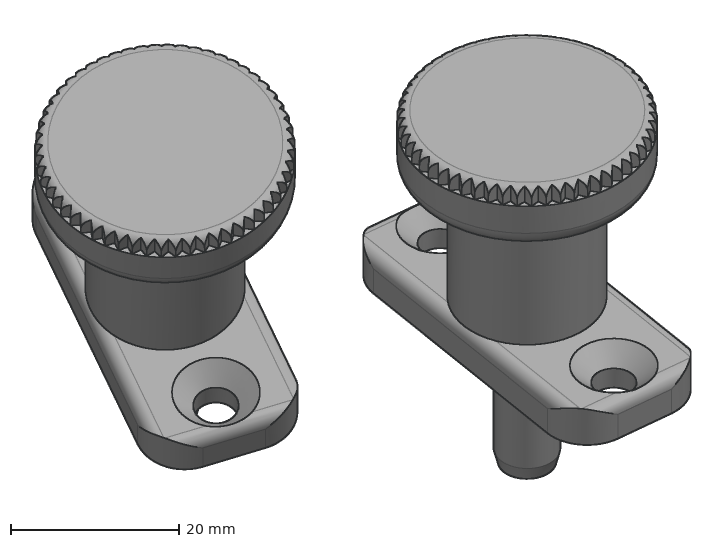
import cadquery as cq
import math

PLATE_THICKNESS = 5.45
COLLAR_HEIGHT = 2.5
BARREL_HEIGHT = 19.0
HEAD_HEIGHT = 9.0
TOTAL_HEIGHT = 54.0
head_bottom = PLATE_THICKNESS + BARREL_HEIGHT
head_top = head_bottom + HEAD_HEIGHT
pin_tip = head_top - TOTAL_HEIGHT

PLATE_LENGTH = 46.0
PLATE_WIDTH = 20.0
PLATE_CORNER_RADIUS = 6.0
PLATE_EDGE_RADIUS = 1.75
COLLAR_DIAMETER = 12.0
SCREW_OFFSET = 17.0
SCREW_DIAMETER = 5.4
COUNTERSINK_DIAMETER = 10.5
COUNTERSINK_ANGLE = 90.0

HEAD_DIAMETER = 31.0
HEAD_TOP_RADIUS = 1.5
HEAD_BOTTOM_RADIUS = 2.5
BARREL_DIAMETER = 19.0
NECK_RADIUS = 1.0
PIN_DIAMETER = 8.0
TIP_DIAMETER = 7.0
TAPER_HEIGHT = 2.0
DOME_HEIGHT = 1.1

KNURL_COUNT = 56
KNURL_HEIGHT = 2.5
KNURL_DEPTH = 0.85


def make_plate():
    """Rounded plate with a collar underneath, a pin bore and two countersunk screw holes."""
    block = (
        cq.Workplane("XY")
        .box(PLATE_LENGTH, PLATE_WIDTH, PLATE_THICKNESS, centered=(True, True, False))
        .faces(">Z")
        .edges()
        .fillet(PLATE_EDGE_RADIUS)
    )
    outline = (
        cq.Workplane("XY")
        .rect(PLATE_LENGTH, PLATE_WIDTH)
        .extrude(PLATE_THICKNESS)
        .edges("|Z")
        .fillet(PLATE_CORNER_RADIUS)
    )
    collar = cq.Workplane("XY").circle(COLLAR_DIAMETER / 2).extrude(-COLLAR_HEIGHT)
    plate = block.intersect(outline).union(collar)

    pin_bore = (
        cq.Workplane("XY", origin=(0, 0, -COLLAR_HEIGHT))
        .circle(PIN_DIAMETER / 2)
        .extrude(COLLAR_HEIGHT + PLATE_THICKNESS)
    )
    plate = plate.cut(pin_bore)
    return cut_screw_holes(plate)


def cut_screw_holes(plate):
    """Countersunk through holes, one on each side of the barrel."""
    return (
        plate.copyWorkplane(cq.Workplane("XY", origin=(0, 0, PLATE_THICKNESS)))
        .pushPoints([(-SCREW_OFFSET, 0), (SCREW_OFFSET, 0)])
        .cskHole(SCREW_DIAMETER, COUNTERSINK_DIAMETER, COUNTERSINK_ANGLE)
    )


def make_plunger():
    """Knob head, barrel and pin, turned as one piece."""
    head_radius = HEAD_DIAMETER / 2
    barrel_radius = BARREL_DIAMETER / 2
    pin_radius = PIN_DIAMETER / 2
    tip_radius = TIP_DIAMETER / 2
    dome_top = pin_tip + DOME_HEIGHT
    dome_radius = (tip_radius**2 + DOME_HEIGHT**2) / (2 * DOME_HEIGHT)
    diagonal = math.sqrt(0.5)

    dome_mid_radius = tip_radius / 2
    dome_mid_height = pin_tip + dome_radius - math.sqrt(dome_radius**2 - dome_mid_radius**2)
    neck_middle = (
        barrel_radius + NECK_RADIUS * (1 - diagonal),
        head_bottom - NECK_RADIUS * (1 - diagonal),
    )
    lower_rim_middle = (
        head_radius - HEAD_BOTTOM_RADIUS * (1 - diagonal),
        head_bottom + HEAD_BOTTOM_RADIUS * (1 - diagonal),
    )
    upper_rim_middle = (
        head_radius - HEAD_TOP_RADIUS * (1 - diagonal),
        head_top - HEAD_TOP_RADIUS * (1 - diagonal),
    )
    plunger = (
        cq.Workplane("XZ")
        .moveTo(0, pin_tip)
        .threePointArc((dome_mid_radius, dome_mid_height), (tip_radius, dome_top))
        .lineTo(pin_radius, dome_top + TAPER_HEIGHT)
        .lineTo(pin_radius, PLATE_THICKNESS)
        .lineTo(barrel_radius, PLATE_THICKNESS)
        .lineTo(barrel_radius, head_bottom - NECK_RADIUS)
        .threePointArc(neck_middle, (barrel_radius + NECK_RADIUS, head_bottom))
        .lineTo(head_radius - HEAD_BOTTOM_RADIUS, head_bottom)
        .threePointArc(lower_rim_middle, (head_radius, head_bottom + HEAD_BOTTOM_RADIUS))
        .lineTo(head_radius, head_top - HEAD_TOP_RADIUS)
        .threePointArc(upper_rim_middle, (head_radius - HEAD_TOP_RADIUS, head_top))
        .lineTo(0, head_top)
        .close()
        .revolve(360, (0, 0, 0), (0, 1, 0))
    )
    return cut_knurl(plunger)


def cut_knurl(plunger):
    """V grooves side by side around the upper rim, with sharp ridges between them."""
    head_radius = HEAD_DIAMETER / 2
    half_pitch = math.pi / KNURL_COUNT
    root_radius = head_radius - KNURL_DEPTH
    ridge_x = head_radius * math.cos(half_pitch)
    ridge_y = head_radius * math.sin(half_pitch)
    reach = 1.05
    flank_x = root_radius + reach * (ridge_x - root_radius)
    flank_y = reach * ridge_y
    groove = (
        cq.Workplane("XY", origin=(0, 0, head_top - KNURL_HEIGHT))
        .polyline([(root_radius, 0), (flank_x, -flank_y), (flank_x, flank_y)])
        .close()
        .extrude(KNURL_HEIGHT)
    )
    grooves = [
        groove.rotate((0, 0, 0), (0, 0, 1), 360 * index / KNURL_COUNT).val()
        for index in range(KNURL_COUNT)
    ]
    return plunger.newObject([plunger.val().cut(*grooves)])


plate = make_plate()
plunger = make_plunger()

result = cq.Compound.makeCompound([plate.val(), plunger.val()])